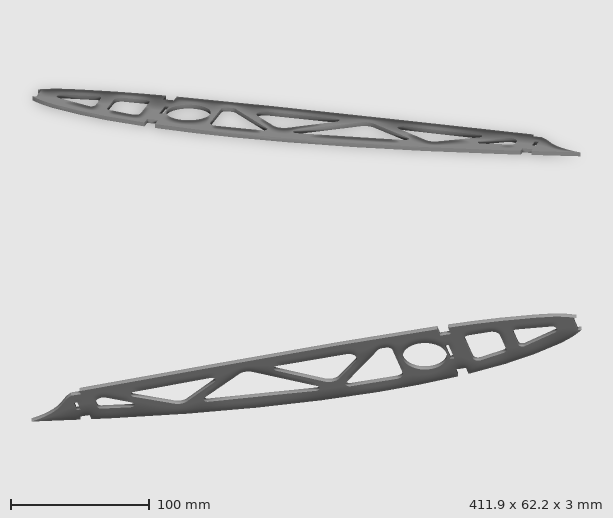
import cadquery as cq
import math

CHORD = 411.85
THICKNESS = 3.0
OVERCUT = 10.0

UPPER_SKIN = [
    (0, 18.8), (10, 23.1), (30, 26.95), (60, 30.0), (113, 31.71),
    (206, 30.75), (304, 28.0), (369, 26.1),
]
LOWER_SKIN = [
    (0, 4.1), (10, -3.1), (26.5, -10.6), (54.4, -19.2), (99.5, -26.95),
    (154, -30.37), (223, -28.3), (295, -20.9), (357, -11.0),
]
TAIL_STEP_X = 369.0
TAIL_STEP_Y = 22.4
TAIL_FLAT_END_X = 376.2
TAIL_TIP_Y = -0.3
TAIL_SCOOP = [(380.8, 18.9), (386.5, 12.4), (400, 3.4), (CHORD, TAIL_TIP_Y)]

NOSE_SEAT_DEPTH = 2.8
NOSE_SEAT_BOTTOM = 4.3
NOSE_SEAT_TOP = 18.8

SPAR_NOTCH_LEFT = 92.4
SPAR_NOTCH_RIGHT = 100.45
SPAR_UPPER_FLOOR = 23.6
SPAR_LOWER_FLOOR = -18.6
WEB_THICKNESS = 3.0
SPAR_WEB_RIGHT = SPAR_NOTCH_RIGHT
SPAR_WEB_BOTTOM = -5.2
SPAR_WEB_TOP = 11.2
TUBE_CENTER = (117.4, 2.5)
TUBE_DIAMETER = 32.0

REAR_NOTCH_LEFT = 369.3
REAR_NOTCH_RIGHT = 376.9
REAR_NOTCH_FLOOR = -3.5
REAR_WEB_RIGHT = REAR_NOTCH_RIGHT
REAR_WEB_BOTTOM = 4.6
REAR_WEB_TOP = 13.4

TIGHT = 3.0
MEDIUM = 4.0
WIDE = 6.0
APEX = 9.0
POCKETS = [
    [(4.9, 11.8, MEDIUM), (48.7, 17.1, TIGHT), (48.7, -5.9, TIGHT)],
    [(58.5, 18.8, WIDE), (84.6, 18.8, MEDIUM), (84.6, -13.7, MEDIUM), (58.5, -7.5, MEDIUM)],
    [(138, 19.8, MEDIUM), (146.9, 19.8, MEDIUM), (185.7, -18.6, TIGHT), (138, -18.6, WIDE)],
    [(156.5, 19.8, WIDE), (232.8, 18.6, TIGHT), (189.1, -12.6, APEX)],
    [(192.6, -18.5, TIGHT), (247.2, 19.8, APEX), (290.7, -9.4, TIGHT)],
    [(263.6, 17.5, TIGHT), (341.6, 14.8, TIGHT), (301.8, -9.0, APEX)],
    [(322.9, -5.0, TIGHT), (361.4, 19.4, WIDE), (361.4, 2.2, TIGHT)],
]


def airfoil_plate():
    lower_skin_forward = LOWER_SKIN[::-1]
    return (
        cq.Workplane("XY")
        .moveTo(*UPPER_SKIN[0])
        .spline(UPPER_SKIN[1:], includeCurrent=True)
        .lineTo(TAIL_STEP_X, TAIL_STEP_Y)
        .lineTo(TAIL_FLAT_END_X, TAIL_STEP_Y)
        .spline(TAIL_SCOOP, includeCurrent=True)
        .lineTo(*lower_skin_forward[0])
        .spline(lower_skin_forward[1:], includeCurrent=True)
        .close()
        .extrude(THICKNESS)
    )


def block(left, right, bottom, top):
    """Through cutter covering a rectangle."""
    center = ((left + right) / 2, (bottom + top) / 2)
    return cq.Workplane("XY").center(*center).rect(right - left, top - bottom).extrude(THICKNESS)


def disc(center, radius):
    """Round through cutter."""
    return cq.Workplane("XY").center(*center).circle(radius).extrude(THICKNESS)


def unit_vector(start, end):
    dx = end[0] - start[0]
    dy = end[1] - start[1]
    length = math.hypot(dx, dy)
    return dx / length, dy / length


def corner_arc(before, corner, after):
    """Start, middle and end points of the fillet at one corner."""
    x, y, radius = corner
    to_before = unit_vector(corner, before)
    to_after = unit_vector(corner, after)
    cosine = to_before[0] * to_after[0] + to_before[1] * to_after[1]
    half_angle = math.acos(cosine) / 2
    setback = radius / math.tan(half_angle)
    apex_gap = radius / math.sin(half_angle) - radius
    bisector = unit_vector((0, 0), (to_before[0] + to_after[0], to_before[1] + to_after[1]))
    start = (x + setback * to_before[0], y + setback * to_before[1])
    middle = (x + apex_gap * bisector[0], y + apex_gap * bisector[1])
    end = (x + setback * to_after[0], y + setback * to_after[1])
    return start, middle, end


def pocket(corners):
    """Through cutter with a filleted polygon outline."""
    count = len(corners)
    arcs = [corner_arc(corners[i - 1], corners[i], corners[(i + 1) % count]) for i in range(count)]
    last_end = arcs[-1][2]
    outline = cq.Workplane("XY").moveTo(*last_end)
    for start, middle, end in arcs:
        outline = outline.lineTo(*start).threePointArc(middle, end)
    return outline.close().extrude(THICKNESS)


def cut_nose_seat(rib):
    return rib.cut(block(-OVERCUT, NOSE_SEAT_DEPTH, NOSE_SEAT_BOTTOM, NOSE_SEAT_TOP))


def cut_main_spar(rib):
    skin_top = max(y for _, y in UPPER_SKIN) + OVERCUT
    skin_bottom = min(y for _, y in LOWER_SKIN) - OVERCUT
    rib = rib.cut(block(SPAR_NOTCH_LEFT, SPAR_NOTCH_RIGHT, SPAR_UPPER_FLOOR, skin_top))
    rib = rib.cut(block(SPAR_NOTCH_LEFT, SPAR_NOTCH_RIGHT, skin_bottom, SPAR_LOWER_FLOOR))
    rib = rib.cut(block(SPAR_WEB_RIGHT - WEB_THICKNESS, SPAR_WEB_RIGHT, SPAR_WEB_BOTTOM, SPAR_WEB_TOP))
    return rib.cut(disc(TUBE_CENTER, TUBE_DIAMETER / 2))


def cut_rear_spar(rib):
    notch_bottom = REAR_NOTCH_FLOOR - OVERCUT
    rib = rib.cut(block(REAR_NOTCH_LEFT, REAR_NOTCH_RIGHT, notch_bottom, REAR_NOTCH_FLOOR))
    return rib.cut(block(REAR_WEB_RIGHT - WEB_THICKNESS, REAR_WEB_RIGHT, REAR_WEB_BOTTOM, REAR_WEB_TOP))


rib = airfoil_plate()
rib = cut_nose_seat(rib)
rib = cut_main_spar(rib)
rib = cut_rear_spar(rib)
for corners in POCKETS:
    rib = rib.cut(pocket(corners))

result = rib